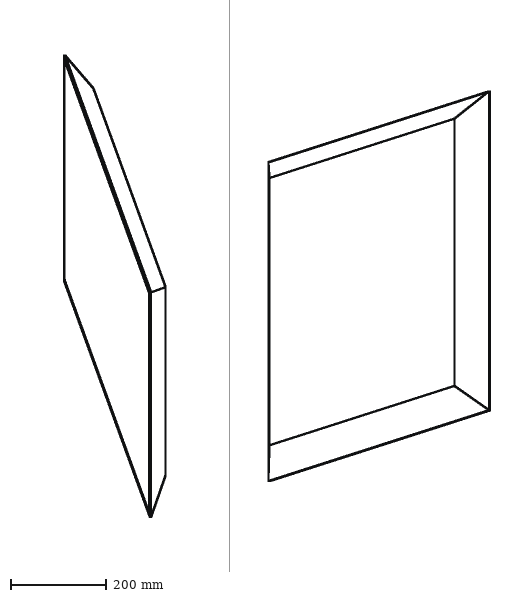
import cadquery as cq

side = 700.0
depth = 50.0
edge_height = 3.0
slope_inset = 57.0
rim_width = 8.0
panel_thickness = 3.5

back_side = side - 2 * slope_inset
panel_side = side - 2 * rim_width


def square_plate(size, thickness):
    """Square plate centred on the Y axis, from the front plane towards +Y."""
    return cq.Workplane("XZ").rect(size, size).extrude(-thickness)


def make_panel():
    """Flat front panel, flush with the housing rim."""
    return square_plate(panel_side, panel_thickness)


def make_housing():
    """Square pan with a short straight edge, four sloped sides and a recess for the panel."""
    edge = square_plate(side, edge_height)
    sloped_back = (
        cq.Workplane("XZ", origin=(0, edge_height, 0))
        .rect(side, side)
        .workplane(offset=edge_height - depth)
        .rect(back_side, back_side)
        .loft(ruled=True)
    )
    panel_recess = square_plate(panel_side, panel_thickness)
    return edge.union(sloped_back).cut(panel_recess)


housing = make_housing()
panel = make_panel()

result = cq.Compound.makeCompound([housing.solids().val(), panel.val()])